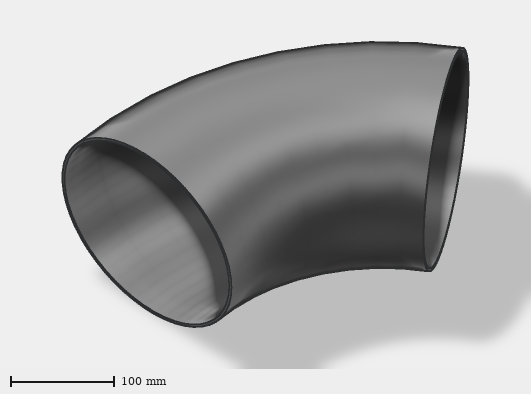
import cadquery as cq

OUTER_DIAMETER = 219.1
WALL_THICKNESS = 3.0
BEND_RADIUS = 305.0
BEND_ANGLE = 60.0

outer_radius = OUTER_DIAMETER / 2
inner_radius = outer_radius - WALL_THICKNESS


def make_elbow():
    """Revolve the ring section at y = 0 about a Z-parallel axis on the +X side."""
    section = cq.Workplane("XZ").circle(outer_radius).circle(inner_radius)
    axis_start = (BEND_RADIUS, 0)
    axis_end = (BEND_RADIUS, -1)
    return section.revolve(BEND_ANGLE, axis_start, axis_end)


result = make_elbow()